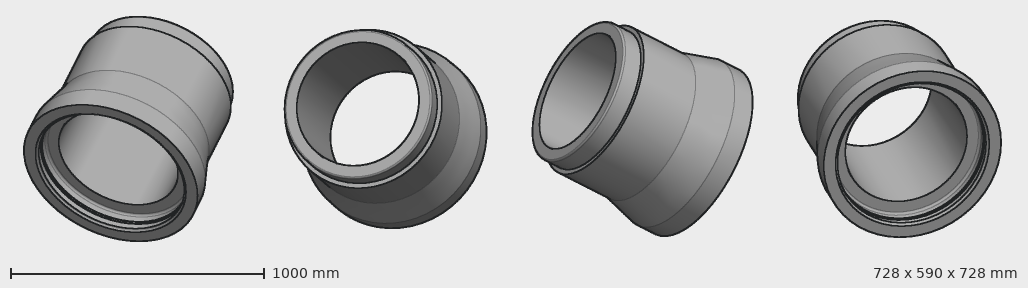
import cadquery as cq

total_length = 590.0
collar_radius = 364.0
body_radius = 321.0
spigot_radius = 301.5
bore_radius = 250.0

collar_length = 90.0
cone_length = 160.0
spigot_length = 84.5
spigot_fillet = 7.0

mouth_radius = 315.0
socket_radius = 305.0
floor_radius = 295.5
socket_depth = 89.0
groove_width = 12.0
groove_depth = 2.0

cone_end = collar_length + cone_length
shoulder = total_length - spigot_length
mouth_round = mouth_radius - socket_radius
floor_round = socket_radius - floor_radius
groove_start = (socket_depth - groove_width) / 2


def turn(profile):
    """Revolve a closed (radius, Y) profile about the Y axis."""
    return profile.close().revolve(360, (0, 0, 0), (0, 1, 0))


def outer_body():
    profile = (
        cq.Workplane("XY")
        .lineTo(collar_radius, 0)
        .lineTo(collar_radius, collar_length)
        .lineTo(body_radius, cone_end)
        .lineTo(body_radius, shoulder)
        .lineTo(spigot_radius, shoulder)
        .lineTo(spigot_radius, total_length)
        .lineTo(0, total_length)
    )
    return turn(profile).faces(">Y").edges().fillet(spigot_fillet)


def socket_and_bore():
    profile = (
        cq.Workplane("XY")
        .lineTo(mouth_radius, 0)
        .radiusArc((socket_radius, mouth_round), -mouth_round)
        .lineTo(socket_radius, socket_depth - floor_round)
        .radiusArc((floor_radius, socket_depth), -floor_round)
        .lineTo(bore_radius, socket_depth)
        .lineTo(bore_radius, total_length)
        .lineTo(0, total_length)
    )
    return turn(profile)


def ring_groove():
    profile = (
        cq.Workplane("XY")
        .moveTo(0, groove_start)
        .lineTo(socket_radius + groove_depth, groove_start)
        .lineTo(socket_radius + groove_depth, groove_start + groove_width)
        .lineTo(0, groove_start + groove_width)
    )
    return turn(profile)


result = outer_body().cut(socket_and_bore()).cut(ring_groove())